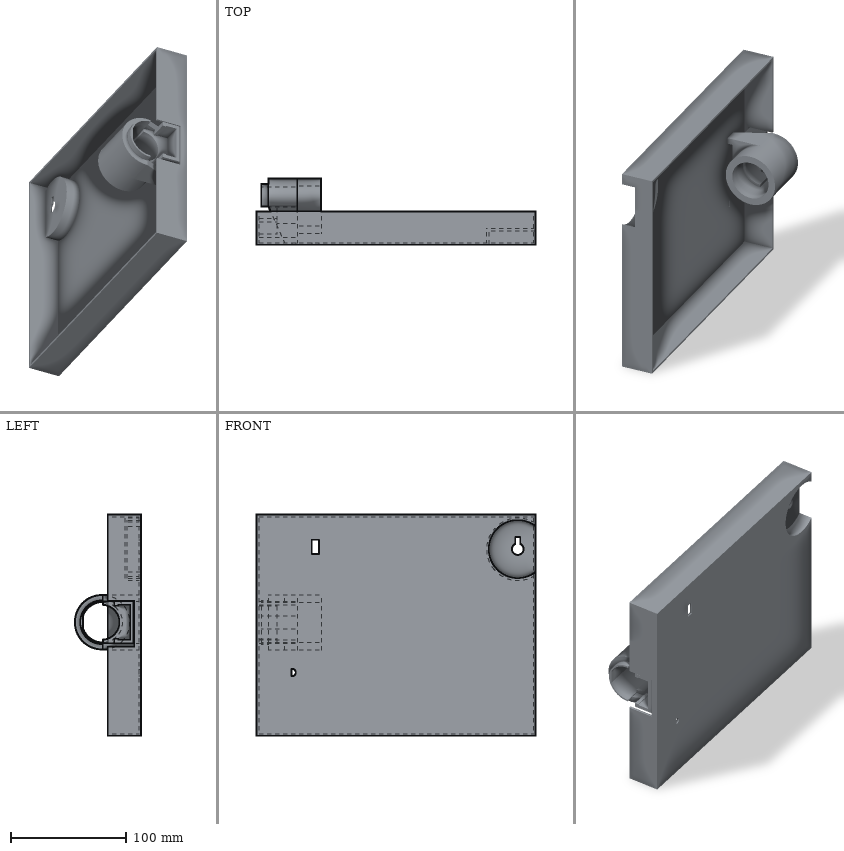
import cadquery as cq
import math

LENGTH = 242.0
DEPTH = 29.0
HEIGHT = 192.0
WALL = 2.0

NOTCH_BOTTOM_Z = 77.2
NOTCH_TOP_Z = 117.1
NOTCH_FLOOR_Y = 6.0

RECESS_X = 226.5
RECESS_Z = 162.0
RECESS_RADIUS = 25.2
RECESS_DEPTH = 12.3
KEYHOLE_DIAMETER = 10.0
KEYHOLE_SLOT_WIDTH = 4.0
KEYHOLE_SLOT_REACH = 10.5

WINDOW_X = 51.0
WINDOW_Z = 163.8
WINDOW_WIDTH = 6.0
WINDOW_HEIGHT = 12.0
D_OPENING_X = 31.0
D_OPENING_Z = 55.0
D_OPENING_DIAMETER = 6.0
D_OPENING_FLAT_OFFSET = 0.5

AXIS_Y = 34.0
AXIS_Z = 98.5
OUTER_RADIUS = 23.7
BORE_RADIUS = 17.5
SPLIT_Y = 33.2

NOSE_START_X = 4.0
NOSE_RADIUS = 38.0 / 2
SLEEVE_START_X = 10.5
SLEEVE_END_X = 35.3
LEG_SLANT = 24.0
BORE_FLAT_OFFSET = 16.5
RING_END_X = 56.1

HOLDER_HALF_WIDTH = 18.2
HOLDER_START_X = 0.5
HOLDER_BOTTOM_Y = 6.8
CHANNEL_FLOOR_Y = 9.7
CHANNEL_TOP_Y = 23.2
LIP_BOTTOM_Y = 20.0
LIP_PROJECTION = 0.7
CRADLE_START_X = 17.7
CRADLE_RADIUS = 15.0


def box(x_range, y_range, z_range):
    """Box between two limits on each axis."""
    limits = (x_range, y_range, z_range)
    sizes = [high - low for low, high in limits]
    corner = tuple(low for low, high in limits)
    return cq.Workplane("XY").box(*sizes, centered=False).translate(corner)


def centred_box(x_range, y_range, half_width):
    """Box that is centred on the height of the tube axis."""
    return box(x_range, y_range, (AXIS_Z - half_width, AXIS_Z + half_width))


def tube_cylinder(radius, start_x, end_x):
    """Cylinder on the tube axis."""
    return cq.Workplane("YZ", origin=(start_x, AXIS_Y, AXIS_Z)).circle(radius).extrude(end_x - start_x)


def front_plane(x, z):
    """Workplane on the front face; its normal points to -Y, so a negative extrusion goes into the tray."""
    return cq.Workplane("XZ", origin=(x, 0, z))


def recess_cylinder(radius, depth):
    return front_plane(RECESS_X, RECESS_Z).circle(radius).extrude(-depth)


def keyhole():
    head = recess_cylinder(KEYHOLE_DIAMETER / 2, DEPTH)
    half_slot = KEYHOLE_SLOT_WIDTH / 2
    slot = box(
        (RECESS_X - half_slot, RECESS_X + half_slot),
        (0, DEPTH),
        (RECESS_Z, RECESS_Z + KEYHOLE_SLOT_REACH),
    )
    return head.union(slot)


def window():
    return front_plane(WINDOW_X, WINDOW_Z).rect(WINDOW_WIDTH, WINDOW_HEIGHT).extrude(-WALL)


def d_opening():
    """Round opening with a flat on its -X side."""
    radius = D_OPENING_DIAMETER / 2
    round_opening = front_plane(D_OPENING_X, D_OPENING_Z).circle(radius).extrude(-WALL)
    kept_side = box(
        (D_OPENING_X - D_OPENING_FLAT_OFFSET, D_OPENING_X + radius),
        (0, WALL),
        (D_OPENING_Z - radius, D_OPENING_Z + radius),
    )
    return round_opening.intersect(kept_side)


def make_tray():
    outside = box((0, LENGTH), (0, DEPTH), (0, HEIGHT))
    cavity = box((WALL, LENGTH - WALL), (WALL, DEPTH), (WALL, HEIGHT - WALL))
    recess_wall = recess_cylinder(RECESS_RADIUS + WALL, RECESS_DEPTH + WALL)
    tray = outside.cut(cavity.cut(recess_wall))
    tray = tray.cut(recess_cylinder(RECESS_RADIUS, RECESS_DEPTH)).cut(keyhole())

    notch = box((0, WALL), (NOTCH_FLOOR_Y, DEPTH), (NOTCH_BOTTOM_Z, NOTCH_TOP_Z))
    return tray.cut(window()).cut(d_opening()).cut(notch)


def make_sleeve():
    """Half-round shell with a stepped nose and two slanted legs that stand on the front plate."""
    shell = tube_cylinder(OUTER_RADIUS, SLEEVE_START_X, SLEEVE_END_X)
    nose = tube_cylinder(NOSE_RADIUS, NOSE_START_X, SLEEVE_START_X)
    upper_half = centred_box((0, SLEEVE_END_X), (SPLIT_Y, AXIS_Y + OUTER_RADIUS), OUTER_RADIUS)
    shoulder = centred_box((SLEEVE_START_X, SLEEVE_END_X), (SPLIT_Y, AXIS_Y), OUTER_RADIUS)
    slant_run = (SPLIT_Y - WALL) * math.tan(math.radians(LEG_SLANT))
    legs = (
        cq.Workplane("XY", origin=(0, 0, AXIS_Z - OUTER_RADIUS))
        .moveTo(SLEEVE_START_X, SPLIT_Y)
        .lineTo(SLEEVE_START_X + slant_run, WALL)
        .lineTo(SLEEVE_END_X, WALL)
        .lineTo(SLEEVE_END_X, SPLIT_Y)
        .close()
        .extrude(2 * OUTER_RADIUS)
    )
    bore_limit = centred_box((0, SLEEVE_END_X), (0, AXIS_Y + BORE_FLAT_OFFSET), BORE_RADIUS)
    bore = tube_cylinder(BORE_RADIUS, 0, SLEEVE_END_X).intersect(bore_limit)
    holder_space = centred_box((0, SLEEVE_END_X), (0, SPLIT_Y), HOLDER_HALF_WIDTH)
    body = shell.union(nose).intersect(upper_half).union(shoulder).union(legs)
    return body.cut(bore).cut(holder_space)


def make_ring():
    outside = tube_cylinder(OUTER_RADIUS, SLEEVE_END_X, RING_END_X)
    return outside.cut(tube_cylinder(BORE_RADIUS, SLEEVE_END_X, RING_END_X))


def make_holder():
    channel_x = (HOLDER_START_X, CRADLE_START_X)
    channel = centred_box(channel_x, (HOLDER_BOTTOM_Y, CHANNEL_TOP_Y), HOLDER_HALF_WIDTH)
    inside = centred_box(channel_x, (CHANNEL_FLOOR_Y, LIP_BOTTOM_Y), CRADLE_RADIUS)
    mouth = centred_box(channel_x, (LIP_BOTTOM_Y, CHANNEL_TOP_Y), CRADLE_RADIUS - LIP_PROJECTION)
    cradle_x = (CRADLE_START_X, SLEEVE_END_X)
    block = centred_box(cradle_x, (HOLDER_BOTTOM_Y, SPLIT_Y), HOLDER_HALF_WIDTH)
    cradle = block.cut(tube_cylinder(CRADLE_RADIUS, *cradle_x))
    return channel.cut(inside).cut(mouth).union(cradle)


tray = make_tray()
sleeve = make_sleeve()
ring = make_ring()
holder = make_holder()

result = cq.Compound.makeCompound([tray.val(), sleeve.val(), ring.val(), holder.val()])